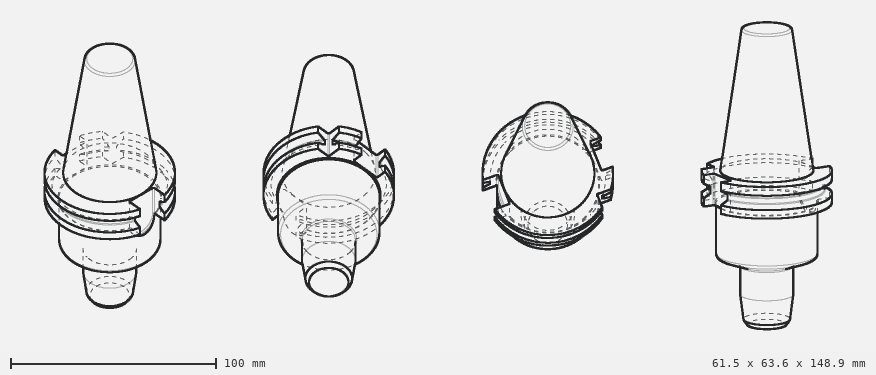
import cadquery as cq
import math

GAUGE_DIA = 44.45
TAPER_RATIO = 7 / 24
TAPER_LENGTH = 68.4
TAPER_END_FILLET = 1.2

FLANGE_DIA = 63.55
FLANGE_TOP_Z = -3.2
FLANGE_BOTTOM_Z = -19.1
GROOVE_Z = -11.2
GROOVE_ROOT_DIA = 56.25
GROOVE_OPENING = 7.25
GROOVE_FLANK_ANGLE = 30
GROOVE_ROOT_FILLET = 0.6

BODY_DIA = 49.5
NOSE_DIA = 26.0
TIP_Z = -80.5
SHOULDER_CORNER_Z = TIP_Z + 34.4
SHOULDER_ANGLE = 20
NOSE_TAPER_LENGTH = 15.2
TIP_CHAMFER_DIA = 22.8
TIP_CHAMFER_HEIGHT = 2.6
TIP_FACE_DIA = 19.2
NECK_FILLET = 0.5
SHOULDER_FILLET = 2.0
NOSE_ROOT_FILLET = 1.0

SLOT_WIDTH = 16.1
SLOT_END_RADIUS = SLOT_WIDTH / 2
SLOT_FLOOR_LEFT = 25.0
SLOT_FLOOR_RIGHT = 22.8
SLOT_FLOOR_FILLET = 0.7
NOTCH_X = -18.5
NOTCH_Y = 18.6
NOTCH_CORNER_FILLET = 0.5


def revolve_profile(points):
    """Solid of revolution about Z from (radius, z) points that start and end on the axis."""
    return cq.Workplane("XZ").polyline(points).close().revolve(360, (0, 0, 0), (0, 1, 0))


def fillet_circle(solid, radius, z, fillet):
    """Round the circular edge about Z that passes through the given radius and height."""
    tolerance = 0.01
    reach = radius + tolerance
    box = cq.selectors.BoxSelector(
        (-reach, -reach, z - tolerance), (reach, reach, z + tolerance), boundingbox=True
    )
    return solid.edges(box).edges("%CIRCLE").edges(cq.selectors.RadiusNthSelector(-1)).fillet(fillet)


def make_shank():
    def taper_radius(z):
        return (GAUGE_DIA - z * TAPER_RATIO) / 2

    solid = revolve_profile([
        (0, FLANGE_TOP_Z),
        (taper_radius(FLANGE_TOP_Z), FLANGE_TOP_Z),
        (taper_radius(TAPER_LENGTH), TAPER_LENGTH),
        (0, TAPER_LENGTH),
    ])
    return fillet_circle(solid, taper_radius(TAPER_LENGTH), TAPER_LENGTH, TAPER_END_FILLET)


def make_flange_and_body():
    flange_r = FLANGE_DIA / 2
    root_r = GROOVE_ROOT_DIA / 2
    body_r = BODY_DIA / 2
    nose_r = NOSE_DIA / 2
    half_opening = GROOVE_OPENING / 2
    half_root = half_opening - (flange_r - root_r) * math.tan(math.radians(GROOVE_FLANK_ANGLE))
    shoulder_end_z = SHOULDER_CORNER_Z - (body_r - nose_r) * math.tan(math.radians(SHOULDER_ANGLE))

    solid = revolve_profile([
        (0, FLANGE_TOP_Z),
        (flange_r, FLANGE_TOP_Z),
        (flange_r, GROOVE_Z + half_opening),
        (root_r, GROOVE_Z + half_root),
        (root_r, GROOVE_Z - half_root),
        (flange_r, GROOVE_Z - half_opening),
        (flange_r, FLANGE_BOTTOM_Z),
        (body_r, FLANGE_BOTTOM_Z),
        (body_r, SHOULDER_CORNER_Z),
        (nose_r, shoulder_end_z),
        (nose_r, TIP_Z + NOSE_TAPER_LENGTH),
        (TIP_CHAMFER_DIA / 2, TIP_Z + TIP_CHAMFER_HEIGHT),
        (TIP_FACE_DIA / 2, TIP_Z),
        (0, TIP_Z),
    ])
    solid = fillet_circle(solid, root_r, GROOVE_Z + half_root, GROOVE_ROOT_FILLET)
    solid = fillet_circle(solid, root_r, GROOVE_Z - half_root, GROOVE_ROOT_FILLET)
    solid = fillet_circle(solid, body_r, FLANGE_BOTTOM_Z, NECK_FILLET)
    solid = fillet_circle(solid, body_r, SHOULDER_CORNER_Z, SHOULDER_FILLET)
    return fillet_circle(solid, nose_r, shoulder_end_z, NOSE_ROOT_FILLET)


def drive_slot_cutter(floor_x):
    """Slot open at the flange top and outward, with a round lower end below the flange.

    It lies on the +X side and its floor is a distance floor_x from the axis.
    """
    half_width = SLOT_WIDTH / 2
    return (
        cq.Workplane("YZ", origin=(floor_x, 0, 0))
        .moveTo(-half_width, FLANGE_TOP_Z)
        .lineTo(-half_width, FLANGE_BOTTOM_Z)
        .threePointArc((0, FLANGE_BOTTOM_Z - SLOT_END_RADIUS), (half_width, FLANGE_BOTTOM_Z))
        .lineTo(half_width, FLANGE_TOP_Z)
        .close()
        .extrude(FLANGE_DIA / 2)
        .faces("<X").edges("not >Z").fillet(SLOT_FLOOR_FILLET)
    )


def orientation_notch_cutter():
    size = FLANGE_DIA / 2
    return (
        cq.Workplane("XY", origin=(NOTCH_X, NOTCH_Y, FLANGE_BOTTOM_Z))
        .box(size, size, FLANGE_TOP_Z - FLANGE_BOTTOM_Z, centered=False)
        .translate((-size, 0, 0))
        .edges("|Z and >X and <Y")
        .fillet(NOTCH_CORNER_FILLET)
    )


right_slot = drive_slot_cutter(SLOT_FLOOR_RIGHT)
left_slot = drive_slot_cutter(SLOT_FLOOR_LEFT).rotate((0, 0, 0), (0, 0, 1), 180)

result = (
    make_flange_and_body()
    .cut(right_slot)
    .cut(left_slot)
    .cut(orientation_notch_cutter())
    .union(make_shank())
)